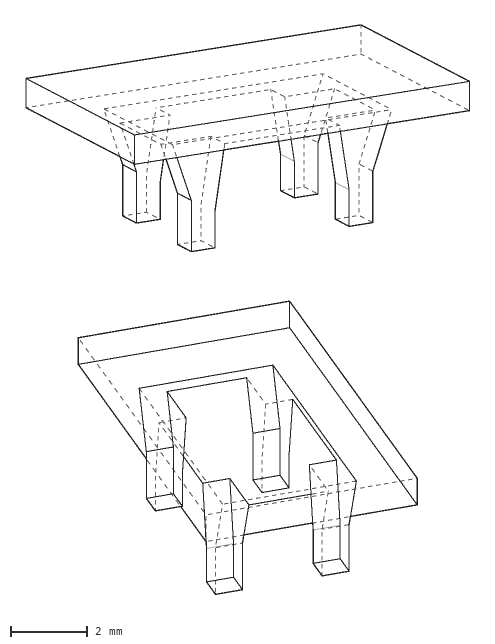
import cadquery as cq

plate_width = 5.85
plate_length = 10.0
plate_thickness = 0.8
total_height = 3.8

stand_width = 3.7
leg_width = 0.75

stand_top_length = 6.54
foot_gap = 4.0
foot_thickness = 0.71
gap_top_length = 3.42

web_thickness = 0.2
outer_knee_depth = 1.6
inner_knee_depth = 2.0
stand_height = total_height - plate_thickness

top_y = stand_top_length / 2
foot_inner_y = foot_gap / 2
foot_outer_y = foot_inner_y + foot_thickness
gap_top_y = gap_top_length / 2


def make_plate():
    """Flat plate with its underside at Z = 0."""
    return cq.Workplane("XY").box(
        plate_width, plate_length, plate_thickness, centered=(True, True, False)
    )


def make_stand():
    """Tapered legs in two pairs, joined by a thin web under the plate."""
    half_profile = [
        (top_y, 0),
        (foot_outer_y, -outer_knee_depth),
        (foot_outer_y, -stand_height),
        (foot_inner_y, -stand_height),
        (foot_inner_y, -inner_knee_depth),
        (gap_top_y, -web_thickness),
    ]
    mirrored_profile = [(-y, z) for y, z in reversed(half_profile)]
    stand = (
        cq.Workplane("YZ")
        .polyline(half_profile + mirrored_profile)
        .close()
        .extrude(stand_width / 2, both=True)
    )

    channel = cq.Workplane("XY", origin=(0, 0, -stand_height)).box(
        stand_width - 2 * leg_width,
        stand_top_length,
        stand_height - web_thickness,
        centered=(True, True, False),
    )
    return stand.cut(channel)


result = make_plate().union(make_stand())